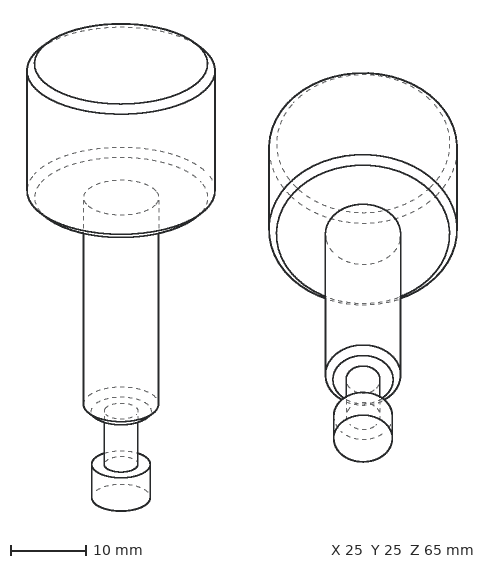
import cadquery as cq

tip_length = 5.0
neck_length = 8.0
shank_length = 32.0
head_length = 20.0

tip_diameter = 7.8
neck_diameter = 4.5
shank_diameter = 10.0
head_diameter = 25.0

edge_chamfer = 1.0

neck_base = tip_length
shank_base = neck_base + neck_length
head_base = shank_base + shank_length


def cylinder(base_height, diameter, length):
    """Solid cylinder on the Z axis, standing on base_height."""
    return cq.Workplane("XY", origin=(0, 0, base_height)).circle(diameter / 2).extrude(length)


def make_head():
    """Knob with both rims chamfered."""
    head = cylinder(head_base, head_diameter, head_length)
    return head.faces("<Z or >Z").edges().chamfer(edge_chamfer)


def make_shank():
    """Plain shank with its lower rim chamfered."""
    shank = cylinder(shank_base, shank_diameter, shank_length)
    return shank.faces("<Z").edges().chamfer(edge_chamfer)


tip = cylinder(0, tip_diameter, tip_length)
neck = cylinder(neck_base, neck_diameter, neck_length)

result = tip.union(neck).union(make_shank()).union(make_head())